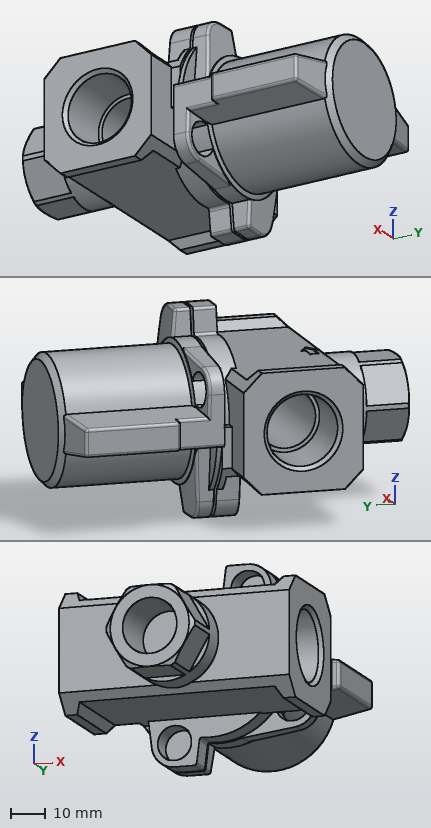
import cadquery as cq
import math


block_length = 70.0
block_size = 35.8
block_chamfer = 5.5
relief_half_height = 15.0
relief_top_half_length = 31.4
relief_floor_half_length = 29.6

port_mouth_radius = 11.8
port_mouth_depth = 1.2
port_thread_radius = 10.6
port_thread_end_radius = 10.1
port_thread_end_depth = 17.1
port_bore_radius = 8.9

connector_radius = 13.5
connector_shoulder_y = -25.6
connector_end_y = -38.8
hex_across_flats = 24.1
hex_end_radius = 12.0
hex_end_chamfer = 0.7
connector_bore_radius = 8.2
connector_bore_end_radius = 8.0
connector_bore_depth = 17.1

arrow_depth = 0.3
arrow_center_y = -12.7
arrow_tail_x = -4.4
arrow_head_x = 0.1
arrow_tip_x = 4.3
arrow_tail_half_width = 1.3
arrow_head_half_width = 2.6

plate_back_y = 21.0
plate_thickness = 7.0
plate_front_y = plate_back_y - plate_thickness
plate_radius = 21.1
sector_radius = 26.9
sector_half_width = 24.0
plate_sector_thickness = 1.8

lug_center_x = 11.1
lug_center_z = 21.9
lug_radius = 7.1
lug_hole_radius = 5.1
lug_heel_x = 4.5
lug_root_z = 3.2
lug_taper = math.radians(7)
lug_corner_radius = 1.0
lug_root_fillet = 1.0
lug_top_z = lug_center_z + lug_radius

overall_length = 107.0
knob_end_y = connector_end_y + overall_length
knob_radius = 19.6
knob_chamfer = 1.9
spigot_radius = 18.1
flange_y = 21.8
flange_radius = 21.2
flange_rim_y = 27.9
flange_top_y = 28.5
lug_top_y = 30.4
lug_top_slope = math.tan(math.radians(7))
lug_cone_reach = 32.1
lug_edge_fillet = 0.9
knob_sector_thickness = 1.5

wing_half_span = 31.4
wing_foot_half_span = lug_top_z
wing_step_y = 35.5
wing_tip_y = 64.2
wing_root_y = 66.8
wing_root_x = 18.5
wing_root_half_height = 5.9
wing_tip_half_height = 4.2
wing_fillet = 1.0


def section(y):
    """Workplane at height y on the knob axis, with local axes X and Z."""
    return cq.Workplane("XZ", origin=(0, y, 0))


def toward_back(outline, depth):
    """Extrude an XZ outline in the +Y direction."""
    return outline.extrude(-depth)


def half_turn(solid):
    """The same solid turned by 180 degrees about the knob axis."""
    return turned(solid, 180)


def turned(solid, angle):
    """Turn a solid about the knob axis, from +X toward +Z for positive angles."""
    return solid.rotate((0, 0, 0), (0, -1, 0), angle)


def revolved_about_y(points):
    """Revolve an outline of (radius, y) points about the knob axis."""
    return cq.Workplane("XY").polyline(points).close().revolve(360, (0, 0, 0), (0, 1, 0))


def lug(y, thickness, heel_x):
    """Rounded lug with one flank tangent to its round end and a heel edge starting at heel_x."""
    def on_round(angle):
        return (
            lug_center_x + lug_radius * math.cos(angle),
            lug_center_z + lug_radius * math.sin(angle),
        )

    root_depth = lug_top_z - lug_root_z
    flank_start = on_round(lug_taper)
    flank_root_x = flank_start[0] + (flank_start[1] - lug_root_z) * math.tan(lug_taper)
    outline = (
        section(y)
        .moveTo(heel_x - root_depth * math.tan(lug_taper), lug_root_z)
        .lineTo(heel_x, lug_top_z)
        .lineTo(lug_center_x, lug_top_z)
        .threePointArc(on_round(math.radians(45)), flank_start)
        .lineTo(flank_root_x, lug_root_z)
        .close()
    )
    heel_corner = cq.selectors.NearestToPointSelector((heel_x, y + thickness / 2, lug_top_z))
    return toward_back(outline, thickness).edges("|Y").edges(heel_corner).fillet(lug_corner_radius)


def lug_hole(y, thickness):
    return toward_back(section(y).center(lug_center_x, lug_center_z).circle(lug_hole_radius), thickness)


def outer_sectors(y, thickness, half_width):
    """Two opposite disc sectors, from the lugs outward and cut off at x = +-half_width."""
    disc = toward_back(section(y).circle(sector_radius), thickness)
    window = toward_back(
        section(y)
        .moveTo(lug_center_x, 0)
        .lineTo(half_width, 0)
        .lineTo(half_width, sector_radius)
        .lineTo(lug_center_x, sector_radius)
        .close(),
        thickness,
    )
    return disc.intersect(window.union(half_turn(window)))



def housing_block():
    block = cq.Workplane("XY").box(block_length, block_size, block_size)
    block = block.edges("|X").chamfer(block_chamfer)
    relief = (
        cq.Workplane("XZ")
        .polyline([
            (-relief_floor_half_length, relief_half_height),
            (relief_floor_half_length, relief_half_height),
            (relief_top_half_length, block_size / 2),
            (-relief_top_half_length, block_size / 2),
        ])
        .close()
        .extrude(block_size / 2, both=True)
    )
    return block.cut(relief).cut(half_turn(relief))


def mounting_plate():
    plate = toward_back(section(plate_front_y).circle(plate_radius), plate_thickness)
    plate_lug = lug(plate_front_y, plate_thickness, lug_heel_x)
    plate = plate.union(plate_lug).union(half_turn(plate_lug))
    root_x = lug_heel_x - (lug_top_z - plate_radius) * math.tan(lug_taper)
    mid_y = plate_back_y - plate_thickness / 2
    for side in (1, -1):
        corner = cq.selectors.NearestToPointSelector((side * root_x, mid_y, side * plate_radius))
        plate = plate.edges("|Y").edges(corner).fillet(lug_root_fillet)
    thin_sectors = outer_sectors(
        plate_back_y - plate_sector_thickness, plate_sector_thickness, sector_half_width
    )
    thick_sectors = outer_sectors(plate_front_y, plate_thickness, sector_half_width)
    relief_band = toward_back(
        section(plate_front_y).rect(block_length, 2 * relief_half_height), plate_thickness
    )
    plate = plate.union(thin_sectors).union(thick_sectors.intersect(relief_band))
    hole = lug_hole(plate_front_y, plate_thickness)
    return plate.cut(hole).cut(half_turn(hole))


def connector():
    hex_length = connector_shoulder_y - connector_end_y
    neck = toward_back(section(connector_shoulder_y).circle(connector_radius), -connector_shoulder_y)
    across_corners = hex_across_flats / math.cos(math.radians(30))
    hexagon = toward_back(section(connector_end_y).polygon(6, across_corners), hex_length)
    envelope = revolved_about_y([
        (0, connector_end_y),
        (hex_end_radius, connector_end_y),
        (connector_radius, connector_end_y + hex_end_chamfer),
        (connector_radius, connector_shoulder_y),
        (0, connector_shoulder_y),
    ])
    return neck.union(hexagon.intersect(envelope))


def flow_passage():
    end_x = block_length / 2
    half = [
        (end_x, port_mouth_radius),
        (end_x - port_mouth_depth, port_thread_radius),
        (end_x - port_thread_end_depth, port_thread_end_radius),
        (end_x - port_thread_end_depth, port_bore_radius),
    ]
    mirrored_half = [(-x, radius) for x, radius in reversed(half)]
    outline = [(end_x, 0)] + half + mirrored_half + [(-end_x, 0)]
    return cq.Workplane("XY").polyline(outline).close().revolve(360, (0, 0, 0), (1, 0, 0))


def connector_bore():
    bottom_y = connector_end_y + connector_bore_depth
    return revolved_about_y([
        (0, connector_end_y),
        (connector_bore_radius, connector_end_y),
        (connector_bore_end_radius, bottom_y),
        (0, bottom_y),
    ])


def flow_arrow():
    return (
        cq.Workplane("XY", origin=(0, arrow_center_y, relief_half_height))
        .polyline([
            (arrow_tail_x, -arrow_tail_half_width),
            (arrow_head_x, -arrow_tail_half_width),
            (arrow_head_x, -arrow_head_half_width),
            (arrow_tip_x, 0),
            (arrow_head_x, arrow_head_half_width),
            (arrow_head_x, arrow_tail_half_width),
            (arrow_tail_x, arrow_tail_half_width),
        ])
        .close()
        .extrude(-arrow_depth)
    )


def make_housing():
    housing = housing_block().union(mounting_plate()).union(connector())
    return housing.cut(flow_passage()).cut(connector_bore()).cut(flow_arrow())



def flange_lug(heel_x):
    """Lug of the flange, limited by a shallow cone about the knob axis and rounded along its upper edge."""
    cone = revolved_about_y([
        (0, flange_y),
        (lug_cone_reach, flange_y),
        (lug_cone_reach, lug_top_y - lug_cone_reach * lug_top_slope),
        (0, lug_top_y),
    ])
    blank = lug(flange_y, lug_top_y - flange_y, heel_x)
    return blank.intersect(cone).faces("%CONE").edges().fillet(lug_edge_fillet)


def knob_barrel():
    """Turned part of the knob: spigot, flange disc and barrel."""
    return revolved_about_y([
        (0, plate_back_y),
        (spigot_radius, plate_back_y),
        (spigot_radius, flange_y),
        (flange_radius, flange_y),
        (flange_radius, flange_rim_y),
        (knob_radius, flange_top_y),
        (knob_radius, knob_end_y - knob_chamfer),
        (knob_radius - knob_chamfer, knob_end_y),
        (0, knob_end_y),
    ])


def add_lugs(knob):
    solid_lug = flange_lug(lug_heel_x)
    knob = knob.union(solid_lug).union(half_turn(solid_lug))
    pierced_lug = flange_lug(0).cut(lug_hole(flange_y, lug_top_y - flange_y))
    return knob.union(turned(pierced_lug, 90)).union(turned(pierced_lug, -90))


def knob_wings():
    side = (
        cq.Workplane("XY")
        .polyline([
            (0, flange_y),
            (wing_foot_half_span, flange_y),
            (wing_foot_half_span, wing_step_y),
            (wing_half_span, wing_step_y),
            (wing_half_span, wing_tip_y),
            (wing_root_x, wing_root_y),
            (0, wing_root_y),
        ])
        .close()
        .extrude(knob_radius, both=True)
    )
    slope = (wing_root_half_height - wing_tip_half_height) / (wing_half_span - wing_root_x)
    center_half_height = wing_root_half_height + wing_root_x * slope
    wedge = toward_back(
        section(flange_y).polyline([
            (0, -center_half_height),
            (wing_half_span, -wing_tip_half_height),
            (wing_half_span, wing_tip_half_height),
            (0, center_half_height),
        ]).close(),
        knob_end_y - flange_y,
    )
    wing = side.intersect(wedge)
    wing = wing.faces(">X or <Z or >Z").edges("not(<X or <Y)").fillet(wing_fillet)
    return wing.union(half_turn(wing))


def make_knob():
    knob = add_lugs(knob_barrel()).union(knob_wings())
    return knob.union(outer_sectors(flange_y, knob_sector_thickness, sector_radius))


housing = make_housing()
knob = make_knob()

result = cq.Compound.makeCompound([housing.val(), knob.val()])